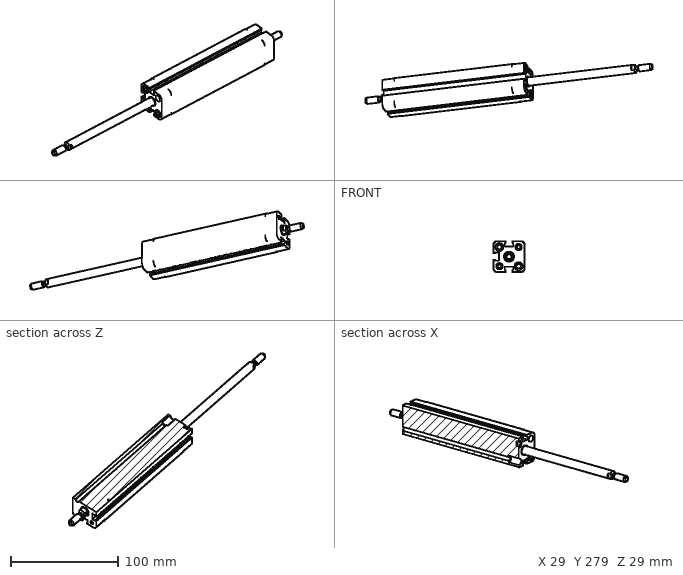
import cadquery as cq

TOTAL_LENGTH = 279.0
FRONT_TIP_Y = -TOTAL_LENGTH / 2
REAR_TIP_Y = TOTAL_LENGTH / 2
REAR_STICK_OUT = 20.5
BODY_LENGTH = 138.0
BODY_REAR_Y = REAR_TIP_Y - REAR_STICK_OUT
BODY_FRONT_Y = BODY_REAR_Y - BODY_LENGTH

BODY_WIDTH = 29.0
CAP_LENGTH = 11.7
TUBE_LENGTH = BODY_LENGTH - 2 * CAP_LENGTH
CAP_CORNER_RADIUS = 4.2
TUBE_CORNER_RADIUS = 3.3

SLOT_MOUTH_WIDTH = 5.9
SLOT_FLOOR_WIDTH = 7.5
SLOT_LIP_DEPTH = 1.5
SLOT_FLARE_DEPTH = 2.2
SLOT_DEPTH = 5.0
SLOT_ANGLES = (0, -90, 180)

CORNER_OFFSET = 9.0
SCREW_RECESS_DIAMETER = 7.5
SCREW_RECESS_DEPTH = 0.3
SOCKET_DIAMETER = 4.2
SOCKET_DEPTH = 2.8
THREAD_HOLE_DIAMETER = 6.0
THREAD_HOLE_DEPTH = CAP_LENGTH
THROUGH_HOLE_DIAMETER = 3.3

ROD_DIAMETER = 8.0
ROD_BORE_DIAMETER = 9.5
ROD_BORE_DEPTH = 0.8
THREAD_DIAMETER = 6.0
NECK_DIAMETER = 4.5
THREAD_TIP_CHAMFER_LENGTH = 1.7
THREAD_TIP_DIAMETER = 4.5
FLATS_WIDTH = 6.0

THREAD_END = 12.5
NECK_START = 13.5
SHOULDER_START = 15.3
SHOULDER_END = 16.7
FLATS_END = 19.8


def cylinder(diameter, y_start, length, x=0.0, z=0.0):
    """Cylinder along +Y from y_start."""
    axis_start = cq.Vector(x, y_start, z)
    return cq.Workplane(cq.Solid.makeCylinder(diameter / 2, length, axis_start, cq.Vector(0, 1, 0)))


def square_block(y_start, length, corner_radius):
    """Square bar along Y with rounded long edges."""
    block = cq.Workplane("XY").box(BODY_WIDTH, length, BODY_WIDTH)
    return block.edges("|Y").fillet(corner_radius).translate((0, y_start + length / 2, 0))


def sensor_slot(angle):
    """Cutter for one slot along the body, opening on +Z and then turned about Y."""
    top = BODY_WIDTH / 2
    mouth = SLOT_MOUTH_WIDTH / 2
    floor = SLOT_FLOOR_WIDTH / 2
    outline = [
        (-mouth, top),
        (-mouth, top - SLOT_LIP_DEPTH),
        (-floor, top - SLOT_FLARE_DEPTH),
        (-floor, top - SLOT_DEPTH),
        (floor, top - SLOT_DEPTH),
        (floor, top - SLOT_FLARE_DEPTH),
        (mouth, top - SLOT_LIP_DEPTH),
        (mouth, top),
    ]
    profile = cq.Workplane("XZ", origin=(0, BODY_FRONT_Y, 0)).polyline(outline).close()
    return profile.extrude(-BODY_LENGTH).rotate((0, 0, 0), (0, 1, 0), angle)


def make_body():
    body = square_block(BODY_FRONT_Y, CAP_LENGTH, CAP_CORNER_RADIUS)
    body = body.union(square_block(BODY_FRONT_Y + CAP_LENGTH, TUBE_LENGTH, TUBE_CORNER_RADIUS))
    body = body.union(square_block(BODY_REAR_Y - CAP_LENGTH, CAP_LENGTH, CAP_CORNER_RADIUS))
    for angle in SLOT_ANGLES:
        body = body.cut(sensor_slot(angle))
    return body


def add_corner_holes(body):
    """Recessed socket screws on one diagonal, stepped through holes on the other."""
    for side in (-1, 1):
        x = side * CORNER_OFFSET
        z = -x
        body = body.cut(cylinder(SCREW_RECESS_DIAMETER, BODY_FRONT_Y, SCREW_RECESS_DEPTH, x, z))
        body = body.cut(cylinder(SOCKET_DIAMETER, BODY_FRONT_Y, SCREW_RECESS_DEPTH + SOCKET_DEPTH, x, z))
        z = x
        body = body.cut(cylinder(THREAD_HOLE_DIAMETER, BODY_FRONT_Y, THREAD_HOLE_DEPTH, x, z))
        body = body.cut(cylinder(THROUGH_HOLE_DIAMETER, BODY_FRONT_Y, BODY_LENGTH, x, z))
    return body


def make_rod():
    """Rod turned in one piece, with wrench flats behind both conical shoulders."""
    rod_radius = ROD_DIAMETER / 2
    half_outline = [
        (THREAD_TIP_DIAMETER / 2, 0),
        (THREAD_DIAMETER / 2, THREAD_TIP_CHAMFER_LENGTH),
        (THREAD_DIAMETER / 2, THREAD_END),
        (NECK_DIAMETER / 2, NECK_START),
        (NECK_DIAMETER / 2, SHOULDER_START),
        (rod_radius, SHOULDER_END),
    ]
    front = [(radius, FRONT_TIP_Y + distance) for radius, distance in half_outline]
    rear = [(radius, -y) for radius, y in reversed(front)]
    outline = [(0, FRONT_TIP_Y)] + front + rear + [(0, REAR_TIP_Y)]
    rod = cq.Workplane("XY").polyline(outline).close().revolve(360, (0, 0, 0), (0, 1, 0))

    half_flats = FLATS_WIDTH / 2
    flat_depth = rod_radius - half_flats
    shoulder_y = REAR_TIP_Y - SHOULDER_START
    runout_y = REAR_TIP_Y - FLATS_END
    flat_outline = [
        (half_flats, shoulder_y),
        (half_flats, runout_y + flat_depth),
        (rod_radius, runout_y),
        (rod_radius, shoulder_y),
    ]
    cutter = cq.Workplane("XY").polyline(flat_outline).close().extrude(rod_radius, both=True)
    for side_cutter in (cutter, cutter.mirror("YZ")):
        rod = rod.cut(side_cutter).cut(side_cutter.mirror("XZ"))
    return rod


def add_rod_recesses(body):
    """Shallow clearance around the rod where it leaves each cap."""
    body = body.cut(cylinder(ROD_BORE_DIAMETER, BODY_FRONT_Y, ROD_BORE_DEPTH))
    return body.cut(cylinder(ROD_BORE_DIAMETER, BODY_REAR_Y - ROD_BORE_DEPTH, ROD_BORE_DEPTH))


body = add_rod_recesses(add_corner_holes(make_body()))
result = body.union(make_rod())